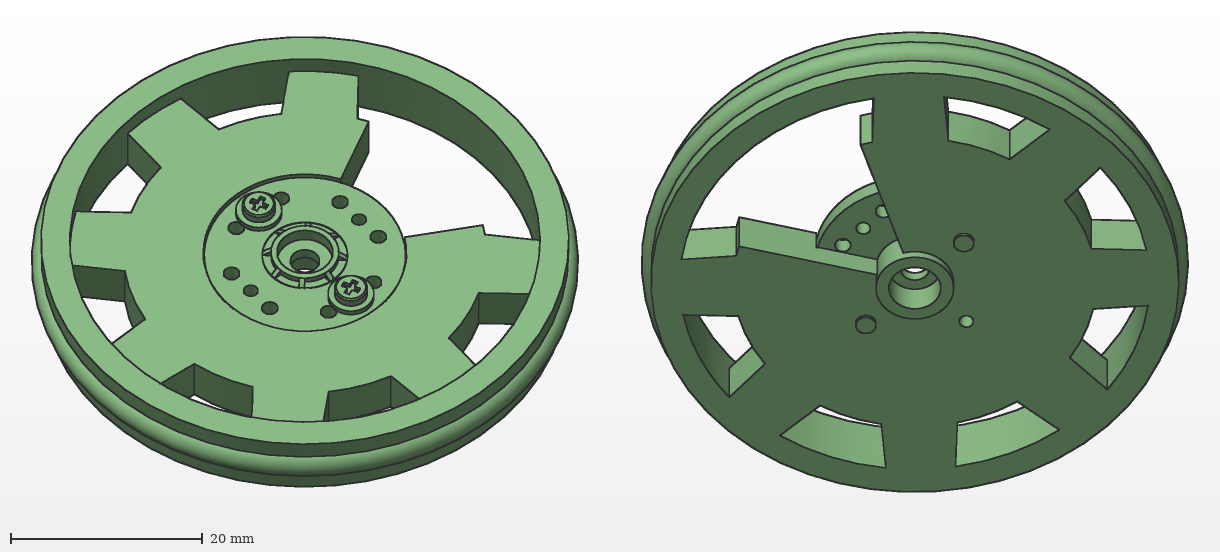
import cadquery as cq
import math


rim_diameter = 55.0
rim_inner_diameter = 49.0
wheel_height = 7.0
rim_lip = 2.0
web_top = wheel_height - rim_lip

window_pitch = 45.0
window_count = 8
first_window_angle = 90.0
window_inner_radius = 18.9
window_inner_half_angle = 10.4
window_outer_radius = 25.65
window_outer_half_angle = 14.5
sector_center_angle = first_window_angle - window_pitch / 2
sector_half_angle = 29.0

tyre_diameter = 57.0
tyre_section_diameter = 3.0
tyre_path_radius = (tyre_diameter - tyre_section_diameter) / 2

hub_diameter = 21.0
hub_clearance = 0.1
hub_drop = 0.4
hub_top = web_top - hub_drop
disc_thickness = 2.0
disc_bottom = hub_top - disc_thickness
boss_diameter = 8.1
boss_protrusion = 0.95
hub_bore_diameter = 3.0
collar_height = 0.5
collar_diameter = 7.05
collar_bore_diameter = 5.8
collar_bore_depth = 1.5
collar_top = hub_top + collar_height
bore_floor = collar_top - collar_bore_depth
socket_diameter = 5.4
bore_land = 1.25
socket_top = bore_floor - bore_land

recess_diameter = 8.9
recess_depth = 0.1
rib_count = 8
rib_width = 0.55

spare_hole_diameter = 1.65
spare_hole_radius = 8.05
spare_hole_count = 8
fixing_hole_diameter = 1.5
fixing_radius = 7.4
fixing_angle = sector_center_angle
fixing_pitch = 90.0

shank_diameter = 2.1
shank_protrusion = 0.35
flange_diameter = 4.8
flange_thickness = 0.55
head_diameter = 3.4
head_height = 1.0
head_chamfer = 0.15
cross_length = 1.9
cross_width = 0.55
cross_depth = 0.45


def polar(radius, degrees):
    angle = math.radians(degrees)
    return (radius * math.cos(angle), radius * math.sin(angle))


def cylinder(diameter, bottom, top, center=(0, 0)):
    return cq.Workplane("XY", origin=(*center, bottom)).circle(diameter / 2).extrude(top - bottom)


def fixing_places(first_turn):
    """Two opposite places on the fixing circle, starting a number of pitches from the first."""
    start = fixing_angle + first_turn * fixing_pitch
    return [polar(fixing_radius, start + half_turn) for half_turn in (0, 180)]


open_hole_places = fixing_places(0)
screw_places = fixing_places(1)


def make_tyre():
    section = cq.Workplane("XZ").center(tyre_path_radius, wheel_height / 2).circle(tyre_section_diameter / 2)
    return section.revolve(360, (-tyre_path_radius, 0), (-tyre_path_radius, 1))


def make_window(angle):
    """Cutter for one window: arcs at the web and rim ends, straight sides flaring outward."""
    inner = window_inner_radius
    outer = window_outer_radius
    return (
        cq.Workplane("XY")
        .moveTo(*polar(inner, angle - window_inner_half_angle))
        .threePointArc(polar(inner, angle), polar(inner, angle + window_inner_half_angle))
        .lineTo(*polar(outer, angle + window_outer_half_angle))
        .threePointArc(polar(outer, angle), polar(outer, angle - window_outer_half_angle))
        .close()
        .extrude(web_top)
    )


def make_sector():
    """Cutter for the open sector of the web, from the wheel axis out to the rim."""
    outer = window_outer_radius
    return (
        cq.Workplane("XY")
        .lineTo(*polar(outer, sector_center_angle - sector_half_angle))
        .threePointArc(
            polar(outer, sector_center_angle),
            polar(outer, sector_center_angle + sector_half_angle),
        )
        .close()
        .extrude(web_top)
    )


def make_web():
    web = cylinder(rim_inner_diameter, 0, web_top)
    for index in range(window_count):
        web = web.cut(make_window(first_window_angle + index * window_pitch))
    web = web.cut(cylinder(hub_diameter + 2 * hub_clearance, disc_bottom, web_top))
    web = web.cut(cylinder(boss_diameter, 0, web_top))
    for place in open_hole_places:
        web = web.cut(cylinder(fixing_hole_diameter, 0, web_top, place))
    for place in screw_places:
        web = web.cut(cylinder(shank_diameter, 0, web_top, place))
    return web.cut(make_sector())


def make_wheel(tyre):
    rim = cylinder(rim_diameter, 0, wheel_height).cut(cylinder(rim_inner_diameter, 0, wheel_height))
    return rim.union(make_web()).cut(tyre)


def make_rib(angle):
    """Rib sloping from the collar top down to the outer edge of the recess floor."""
    inner = (collar_diameter + collar_bore_diameter) / 4
    recess_floor = hub_top - recess_depth
    profile = [
        (inner, recess_floor),
        (recess_diameter / 2, recess_floor),
        (collar_diameter / 2, collar_top),
        (inner, collar_top),
    ]
    rib = cq.Workplane("XZ").polyline(profile).close().extrude(rib_width / 2, both=True)
    return rib.rotate((0, 0, 0), (0, 0, 1), angle)


def make_hub():
    hub = cylinder(hub_diameter, disc_bottom, hub_top)
    hub = hub.union(cylinder(boss_diameter, -boss_protrusion, disc_bottom))
    hub = hub.cut(cylinder(recess_diameter, hub_top - recess_depth, hub_top))
    hub = hub.union(cylinder(collar_diameter, hub_top - recess_depth, collar_top))
    rib_pitch = 360 / rib_count
    for index in range(rib_count):
        hub = hub.union(make_rib((index + 0.5) * rib_pitch))
    hub = hub.cut(cylinder(collar_bore_diameter, bore_floor, collar_top))
    hub = hub.cut(cylinder(hub_bore_diameter, socket_top, bore_floor))
    hub = hub.cut(cylinder(socket_diameter, -boss_protrusion, socket_top))
    for index in range(spare_hole_count):
        place = polar(spare_hole_radius, index * 360 / spare_hole_count)
        hub = hub.cut(cylinder(spare_hole_diameter, disc_bottom, hub_top, place))
    for place in open_hole_places:
        hub = hub.cut(cylinder(fixing_hole_diameter, disc_bottom, hub_top, place))
    for place in screw_places:
        hub = hub.cut(cylinder(shank_diameter, disc_bottom, hub_top, place))
    return hub


def make_screw(place):
    flange_top = hub_top + flange_thickness
    head_top = flange_top + head_height
    head = cylinder(head_diameter, flange_top, head_top, place).faces(">Z").chamfer(head_chamfer)
    screw = cylinder(shank_diameter, -shank_protrusion, hub_top, place)
    screw = screw.union(cylinder(flange_diameter, hub_top, flange_top, place)).union(head)
    cross = cq.Workplane("XY", origin=(*place, head_top - cross_depth))
    for size in ((cross_length, cross_width), (cross_width, cross_length)):
        screw = screw.cut(cross.rect(*size).extrude(cross_depth))
    return screw


tyre = make_tyre()
wheel = make_wheel(tyre)
hub = make_hub()
screws = [make_screw(place) for place in screw_places]

result = cq.Compound.makeCompound([wheel.val(), tyre.val(), hub.val(), *[screw.val() for screw in screws]])